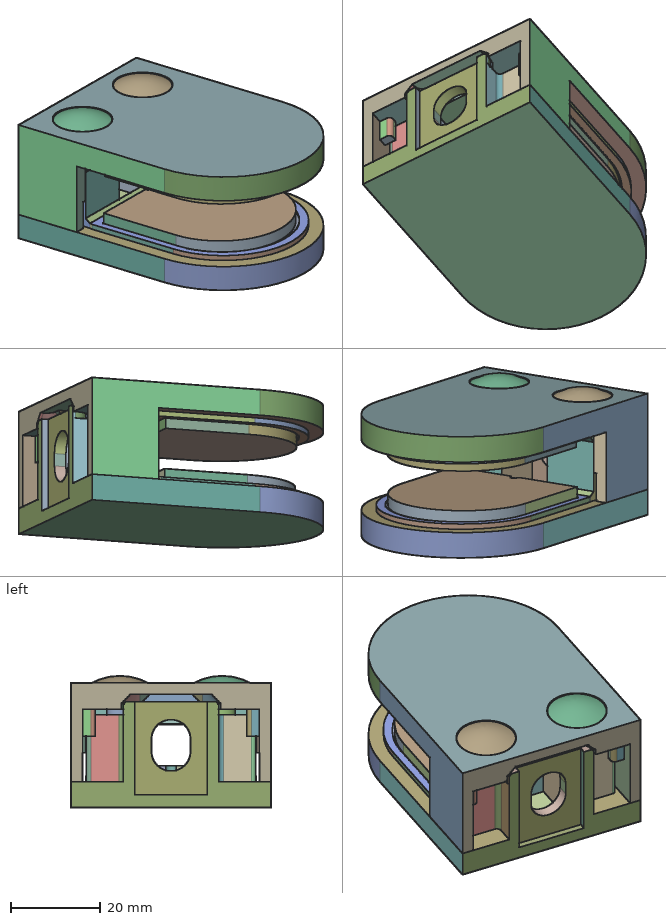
import cadquery as cq
import math

LENGTH = 63.0
WIDTH = 45.0
HALF_WIDTH = WIDTH / 2

PLATE_TOP = 5.85
CLAMP_TOP = 28.0
CEILING = CLAMP_TOP - PLATE_TOP
LOWER_LIP_TOP = 7.05
UPPER_LIP_BOTTOM = 20.9
LIP_INSET = 3.35
LIP_HALF_WIDTH = HALF_WIDTH - LIP_INSET

THROAT_X = 16.1
CAVITY_HALF_WIDTH = 19.85
LOWER_GUSSET_LENGTH = 1.2
LOWER_GUSSET_HEIGHT = 0.95
UPPER_GUSSET_SIZE = 1.6
LIP_TAPER_LENGTH = 0.6

BLOCK_FRONT_X = 5.05
BLOCK_HALF_WIDTH = 19.0
BLOCK_TOP = 20.8
CORNER_RADIUS = 1.1
POST_HALF_WIDTH = 10.7

TONGUE_DEPTH = 4.3
TONGUE_TOP = 23.8
TONGUE_CHAMFER = 0.6
TONGUE_CLEARANCE = 0.5
SOCKET_TAPER_START = 23.3
SOCKET_TAPER_ANGLE = 45
SOCKET_TOP = 25.4
SOCKET_CORNER_RADIUS = 4.15
CHANNEL_HALF_WIDTH = 4.8
CHANNEL_END_X = 5.7

PANEL_HALF_WIDTH = 8.2
PANEL_BOTTOM = 2.85
PANEL_DEPTH = 1.5
SLOT_WIDTH = 8.7
SLOT_HEIGHT = 11.5
SLOT_CENTER_Z = 14.0
CHAMBER_HALF_WIDTH = 6.3
CHAMBER_BOTTOM = 3.3
CHAMBER_TOP = 18.85

TAB_FRONT_X = 2.95
TAB_INNER_Y = 16.95
TAB_BOTTOM = 16.05
RIB_FRONT_X = 13.85
RIB_INNER_Y = 19.15
RIB_BOTTOM = 12.3

PAD_HALF_WIDTH = 17.0
PAD_LENGTH = 37.0
LOWER_PAD_X = 19.65
UPPER_PAD_X = 20.0
LOWER_PAD_TOP = 9.45
UPPER_PAD_BOTTOM = 18.65
PAD_SEAT_DEPTH = 0.4
SEAT_HALF_WIDTH = 17.25
SEAT_X = 19.5
SEAT_LENGTH = 38.0
PAD_NOTCH_RADIUS = 1.15

SCREW_X = 9.75
SCREW_Y = 11.45
SHANK_RADIUS = 2.95
SCREW_BOTTOM = 7.55
HEAD_RADIUS = 6.6
HEAD_RIM_Z = 27.85
DOME_TOP = 29.6
CONE_BOTTOM = HEAD_RIM_Z - (HEAD_RADIUS - SHANK_RADIUS)
COUNTERSINK_RADIUS = SHANK_RADIUS + CLAMP_TOP - CONE_BOTTOM


def box(x_range, y_range, z_range):
    """Box between two limits on each axis."""
    spans = [high - low for low, high in (x_range, y_range, z_range)]
    corner = (x_range[0], y_range[0], z_range[0])
    return cq.Workplane("XY").box(*spans, centered=False).translate(corner)


def centered_box(x_range, half_width, z_range):
    """Box that is symmetric about the XZ plane."""
    return box(x_range, (-half_width, half_width), z_range)


def d_plate(x_start, x_end, half_width, bottom, top):
    """Slab that is flat at x_start and ends in a full semicircle at x_end."""
    arc_x = x_end - half_width
    return (
        cq.Workplane("XY", origin=(0, 0, bottom))
        .moveTo(x_start, -half_width)
        .lineTo(arc_x, -half_width)
        .threePointArc((x_end, 0), (arc_x, half_width))
        .lineTo(x_start, half_width)
        .close()
        .extrude(top - bottom)
    )


def gusset(length, height, level):
    """Triangular strip in the throat corner; a negative height hangs down."""
    return (
        cq.Workplane("XZ", origin=(0, LIP_HALF_WIDTH, 0))
        .polyline([(THROAT_X, level), (THROAT_X + length, level), (THROAT_X, level + height)])
        .close()
        .extrude(2 * LIP_HALF_WIDTH)
    )


def pad_seat(bottom):
    return d_plate(SEAT_X, SEAT_X + SEAT_LENGTH, SEAT_HALF_WIDTH, bottom, bottom + PAD_SEAT_DEPTH)


def revolve_about_screw(profile, side):
    """Turn a half profile (radius, Z) about the screw axis on the given side."""
    solid = profile.close().revolve(360, (0, 0, 0), (0, 1, 0))
    return solid.translate((SCREW_X, side * SCREW_Y, 0))


def rounded_end(depth, half_width, radius, bottom):
    """Closed outline from -depth to depth along X, with its corners at +depth rounded."""
    arc_offset = radius * (1 - math.sqrt(0.5))
    return (
        cq.Workplane("XY", origin=(0, 0, bottom))
        .moveTo(-depth, -half_width)
        .lineTo(depth - radius, -half_width)
        .threePointArc((depth - arc_offset, -half_width + arc_offset), (depth, -half_width + radius))
        .lineTo(depth, half_width - radius)
        .threePointArc((depth - arc_offset, half_width - arc_offset), (depth - radius, half_width))
        .lineTo(-depth, half_width)
        .close()
    )


def tongue():
    radius = SOCKET_CORNER_RADIUS - TONGUE_CLEARANCE
    outline = rounded_end(TONGUE_DEPTH, POST_HALF_WIDTH, radius, BLOCK_TOP)
    solid = outline.extrude(TONGUE_TOP - BLOCK_TOP).faces(">Z").chamfer(TONGUE_CHAMFER)
    return solid.intersect(centered_box((0, TONGUE_DEPTH), POST_HALF_WIDTH, (BLOCK_TOP, TONGUE_TOP)))


def block_and_post():
    """T-shaped column: narrow post in front, wide block behind."""
    z_range = (PLATE_TOP, BLOCK_TOP)
    block = centered_box((BLOCK_FRONT_X, THROAT_X), BLOCK_HALF_WIDTH, z_range)
    block = block.edges("|Z and <X").fillet(CORNER_RADIUS)
    post = centered_box((0, BLOCK_FRONT_X), POST_HALF_WIDTH, z_range)
    margin = CORNER_RADIUS / 2
    inner_corners = cq.selectors.BoxSelector(
        (BLOCK_FRONT_X - margin, -POST_HALF_WIDTH - margin, PLATE_TOP),
        (BLOCK_FRONT_X + margin, POST_HALF_WIDTH + margin, BLOCK_TOP),
    )
    return block.union(post).edges("|Z").edges(inner_corners).fillet(CORNER_RADIUS)


def lower_lip():
    """Raised lip whose sides taper in to meet the narrower block."""
    lip = d_plate(THROAT_X, LENGTH - LIP_INSET, LIP_HALF_WIDTH, PLATE_TOP, LOWER_LIP_TOP)
    lip = lip.union(gusset(LOWER_GUSSET_LENGTH, LOWER_GUSSET_HEIGHT, LOWER_LIP_TOP))
    taper_x = THROAT_X + LOWER_GUSSET_LENGTH
    for side in (1, -1):
        relief = (
            cq.Workplane("XY", origin=(0, 0, PLATE_TOP))
            .moveTo(THROAT_X, side * BLOCK_HALF_WIDTH)
            .lineTo(taper_x, side * BLOCK_HALF_WIDTH)
            .lineTo(taper_x + LIP_TAPER_LENGTH, side * LIP_HALF_WIDTH)
            .lineTo(THROAT_X, side * LIP_HALF_WIDTH)
            .close()
            .extrude(CEILING - PLATE_TOP)
        )
        lip = lip.cut(relief)
    return lip


def make_lower_clamp():
    clamp = d_plate(0, LENGTH, HALF_WIDTH, 0, PLATE_TOP)
    clamp = clamp.union(lower_lip()).union(block_and_post()).union(tongue())

    clamp = clamp.cut(centered_box((0, PANEL_DEPTH), PANEL_HALF_WIDTH, (PANEL_BOTTOM, TONGUE_TOP)))
    slot = (
        cq.Workplane("YZ", origin=(0, 0, SLOT_CENTER_Z))
        .slot2D(SLOT_HEIGHT, SLOT_WIDTH, 90)
        .extrude(TONGUE_DEPTH)
    )
    chamber = centered_box((TONGUE_DEPTH, THROAT_X), CHAMBER_HALF_WIDTH, (CHAMBER_BOTTOM, CHAMBER_TOP))
    clamp = clamp.cut(slot).cut(chamber)

    for side in (1, -1):
        hole = (
            cq.Workplane("XY", origin=(SCREW_X, side * SCREW_Y, SCREW_BOTTOM))
            .circle(SHANK_RADIUS)
            .extrude(BLOCK_TOP - SCREW_BOTTOM)
        )
        clamp = clamp.cut(hole)
    return clamp.cut(pad_seat(LOWER_LIP_TOP - PAD_SEAT_DEPTH))


def tongue_socket():
    """Vertical at the bottom, then closing in at 45 degrees, with a deeper middle channel."""
    depth = TONGUE_DEPTH + TONGUE_CLEARANCE
    half_width = POST_HALF_WIDTH + TONGUE_CLEARANCE
    straight = rounded_end(depth, half_width, SOCKET_CORNER_RADIUS, CEILING)
    straight = straight.extrude(SOCKET_TAPER_START - CEILING)
    taper = rounded_end(depth, half_width, SOCKET_CORNER_RADIUS, SOCKET_TAPER_START)
    taper = taper.extrude(SOCKET_TOP - SOCKET_TAPER_START, taper=SOCKET_TAPER_ANGLE)
    channel_base = CHANNEL_HALF_WIDTH + SOCKET_TOP - CEILING
    channel = (
        cq.Workplane("YZ")
        .polyline([
            (-channel_base, CEILING),
            (channel_base, CEILING),
            (CHANNEL_HALF_WIDTH, SOCKET_TOP),
            (-CHANNEL_HALF_WIDTH, SOCKET_TOP),
        ])
        .close()
        .extrude(CHANNEL_END_X)
    )
    return straight.union(taper).union(channel)


def side_tabs():
    """On each side wall, a round-nosed tab ahead of the block and a rib beside its rear end."""
    tab = box((TAB_FRONT_X, BLOCK_FRONT_X), (TAB_INNER_Y, CAVITY_HALF_WIDTH), (TAB_BOTTOM, CEILING))
    tab = tab.edges("|Z and <X and <Y").fillet(CORNER_RADIUS)
    rib = box((RIB_FRONT_X, THROAT_X), (RIB_INNER_Y, CAVITY_HALF_WIDTH), (RIB_BOTTOM, CEILING))
    one_side = tab.add(rib).combine()
    return one_side, one_side.mirror("XZ")


def make_upper_clamp():
    clamp = d_plate(0, LENGTH, HALF_WIDTH, CEILING, CLAMP_TOP)
    walls = centered_box((0, THROAT_X), HALF_WIDTH, (PLATE_TOP, CEILING))
    cavity = centered_box((0, THROAT_X), CAVITY_HALF_WIDTH, (PLATE_TOP, CEILING))
    clamp = clamp.union(walls.cut(cavity))
    for tabs in side_tabs():
        clamp = clamp.union(tabs)
    clamp = clamp.cut(tongue_socket())

    lip = d_plate(THROAT_X, LENGTH - LIP_INSET, LIP_HALF_WIDTH, UPPER_LIP_BOTTOM, CEILING)
    lip = lip.union(gusset(UPPER_GUSSET_SIZE, -UPPER_GUSSET_SIZE, UPPER_LIP_BOTTOM))
    clamp = clamp.union(lip)

    hole_profile = [
        (0, CEILING),
        (SHANK_RADIUS, CEILING),
        (SHANK_RADIUS, CONE_BOTTOM),
        (COUNTERSINK_RADIUS, CLAMP_TOP),
        (0, CLAMP_TOP),
    ]
    for side in (1, -1):
        clamp = clamp.cut(revolve_about_screw(cq.Workplane("XZ").polyline(hole_profile), side))
    return clamp.cut(pad_seat(UPPER_LIP_BOTTOM))


def make_lower_pad():
    bottom = LOWER_LIP_TOP - PAD_SEAT_DEPTH
    pad = d_plate(LOWER_PAD_X, LOWER_PAD_X + PAD_LENGTH, PAD_HALF_WIDTH, bottom, LOWER_PAD_TOP)
    notch = (
        cq.Workplane("XY", origin=(LOWER_PAD_X, 0, bottom))
        .circle(PAD_NOTCH_RADIUS)
        .extrude(LOWER_PAD_TOP - bottom)
    )
    return pad.cut(notch)


def make_upper_pad():
    top = UPPER_LIP_BOTTOM + PAD_SEAT_DEPTH
    return d_plate(UPPER_PAD_X, UPPER_PAD_X + PAD_LENGTH, PAD_HALF_WIDTH, UPPER_PAD_BOTTOM, top)


def make_screw(side):
    """Shank, 45 degree cone and shallow spherical dome turned as one piece."""
    dome_height = DOME_TOP - HEAD_RIM_Z
    dome_radius = (HEAD_RADIUS ** 2 + dome_height ** 2) / (2 * dome_height)
    half_radius = HEAD_RADIUS / 2
    dome_center_z = DOME_TOP - dome_radius
    arc_point = (half_radius, dome_center_z + math.sqrt(dome_radius ** 2 - half_radius ** 2))
    profile = (
        cq.Workplane("XZ")
        .moveTo(0, SCREW_BOTTOM)
        .lineTo(SHANK_RADIUS, SCREW_BOTTOM)
        .lineTo(SHANK_RADIUS, CONE_BOTTOM)
        .lineTo(HEAD_RADIUS, HEAD_RIM_Z)
        .threePointArc(arc_point, (0, DOME_TOP))
    )
    return revolve_about_screw(profile, side)


lower_clamp = make_lower_clamp()
upper_clamp = make_upper_clamp()
lower_pad = make_lower_pad()
upper_pad = make_upper_pad()
screws = [make_screw(side) for side in (1, -1)]

result = cq.Compound.makeCompound([
    lower_clamp.solids().val(),
    upper_clamp.solids().val(),
    lower_pad.solids().val(),
    upper_pad.solids().val(),
    *[screw.solids().val() for screw in screws],
])